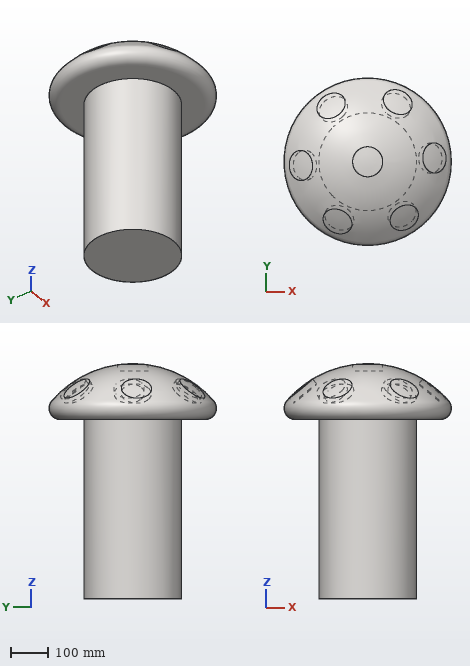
import cadquery as cq
import math

total_height = 630.0
cap_radius = 224.0
cap_height = 150.0
rim_radius = 30.0
stem_radius = 131.0

spot_radius = 40.5
spot_depth = 20.0
spot_tilt = 39.3
ring_spot_count = 6
first_spot_angle = 3.2

stem_height = total_height - cap_height

rim_center_x = cap_radius - rim_radius
rim_center_z = stem_height + rim_radius
top_to_rim_center = cap_height - rim_radius
dome_radius = (
    (rim_center_x**2 + top_to_rim_center**2 - rim_radius**2)
    / (2 * (top_to_rim_center - rim_radius))
)
dome_center_z = total_height - dome_radius


def dome_point(tilt):
    """Profile point (X, Z) on the dome, at a tilt in radians from vertical."""
    return (dome_radius * math.sin(tilt), dome_center_z + dome_radius * math.cos(tilt))


def make_stem():
    return cq.Workplane("XY").circle(stem_radius).extrude(stem_height)


def make_cap_blank():
    """Revolved cap before the spot recesses are cut."""
    rim_tilt = math.atan2(rim_center_x, rim_center_z - dome_center_z)
    profile = (
        cq.Workplane("XZ")
        .moveTo(0, stem_height)
        .lineTo(rim_center_x, stem_height)
        .threePointArc((cap_radius, rim_center_z), dome_point(rim_tilt))
        .threePointArc(dome_point(rim_tilt / 2), (0, total_height))
        .close()
    )
    return profile.revolve(360, (0, 0, 0), (0, 1, 0))


def make_spot(cap_blank, tilt, angle):
    """Round plug square to the dome, with its outer face flush with the dome."""
    plug = (
        cq.Workplane("XY")
        .workplane(offset=dome_radius - spot_depth)
        .circle(spot_radius)
        .extrude(2 * spot_depth)
        .rotate((0, 0, 0), (0, 1, 0), tilt)
        .rotate((0, 0, 0), (0, 0, 1), angle)
        .translate((0, 0, dome_center_z))
    )
    return plug.intersect(cap_blank).solids()


stem = make_stem()
cap_blank = make_cap_blank()

spots = [make_spot(cap_blank, 0, 0)]
for index in range(ring_spot_count):
    angle = first_spot_angle + index * 360 / ring_spot_count
    spots.append(make_spot(cap_blank, spot_tilt, angle))

cap = cap_blank
for spot in spots:
    cap = cap.cut(spot).solids()

result = cq.Compound.makeCompound([stem.val(), cap.val(), *[spot.val() for spot in spots]])